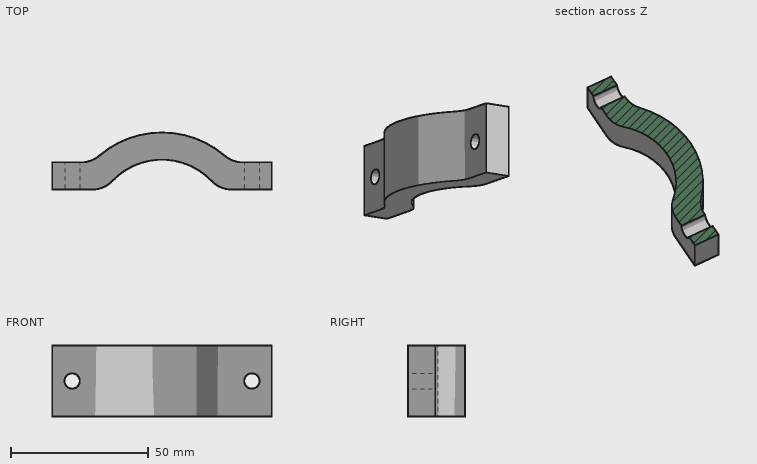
import cadquery as cq
import math

length = 80.0
width = 26.0
thickness = 10.0

pipe_radius = 25.0
arch_outer_radius = pipe_radius + thickness
arch_centre_y = -14.11
bend_radius = 10.0

hole_diameter = 5.5
hole_inset = 7.25


def edge_points(arch_radius, ear_y):
    """Points of one long edge on the +X half, from the ear to the crown.

    The bend circle lies on the +Y side of the ear line and is tangent to both
    the ear line and the arch circle.
    """
    bend_centre_y = ear_y + bend_radius
    centre_distance = arch_radius + bend_radius
    tangent_angle = math.acos((bend_centre_y - arch_centre_y) / centre_distance)
    bend_centre_x = centre_distance * math.sin(tangent_angle)
    half_angle = tangent_angle / 2
    return {
        "bend_start": (bend_centre_x, ear_y),
        "bend_middle": (
            bend_centre_x - bend_radius * math.sin(half_angle),
            bend_centre_y - bend_radius * math.cos(half_angle),
        ),
        "bend_end": (
            arch_radius * math.sin(tangent_angle),
            arch_centre_y + arch_radius * math.cos(tangent_angle),
        ),
        "crown": (0.0, arch_centre_y + arch_radius),
    }


def mirrored(point):
    """The same point on the -X half."""
    x, y = point
    return (-x, y)


def make_strap():
    """Bent strap: flat ears, tangent bends and the arch, extruded along Z."""
    front = edge_points(pipe_radius, 0.0)
    back = edge_points(arch_outer_radius, thickness)
    half_length = length / 2
    outline = (
        cq.Workplane("XY")
        .workplane(offset=-width / 2)
        .moveTo(-half_length, 0.0)
        .lineTo(*mirrored(front["bend_start"]))
        .threePointArc(mirrored(front["bend_middle"]), mirrored(front["bend_end"]))
        .threePointArc(front["crown"], front["bend_end"])
        .threePointArc(front["bend_middle"], front["bend_start"])
        .lineTo(half_length, 0.0)
        .lineTo(half_length, thickness)
        .lineTo(*back["bend_start"])
        .threePointArc(back["bend_middle"], back["bend_end"])
        .threePointArc(back["crown"], mirrored(back["bend_end"]))
        .threePointArc(mirrored(back["bend_middle"]), mirrored(back["bend_start"]))
        .lineTo(-half_length, thickness)
        .close()
    )
    return outline.extrude(width)


def make_screw_holes():
    """Cylinders along Y that pass right through both ears."""
    hole_x = length / 2 - hole_inset
    return (
        cq.Workplane("XZ")
        .pushPoints([(-hole_x, 0.0), (hole_x, 0.0)])
        .circle(hole_diameter / 2)
        .extrude(-thickness)
    )


result = make_strap().cut(make_screw_holes())